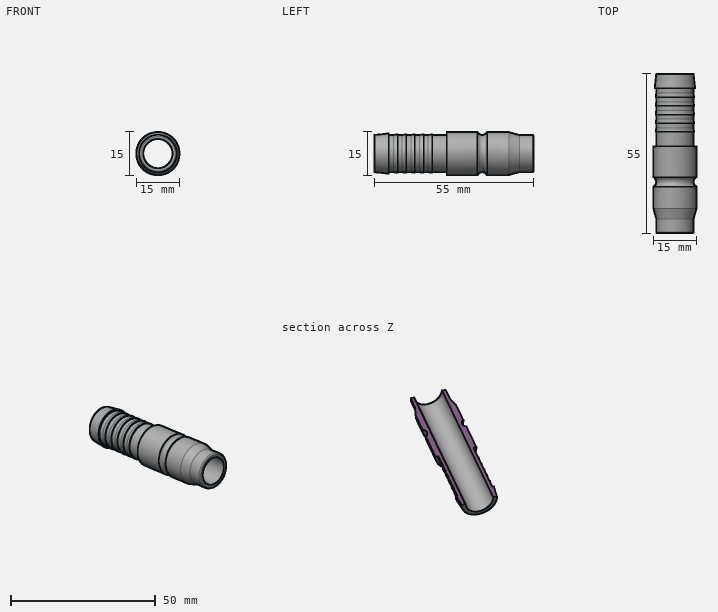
import cadquery as cq

length = 55.0
body_radius = 7.51
tube_radius = 6.5
bore_radius = 5.0

plug_length = 5.0
plug_edge_fillet = 0.5
cone_end = 8.65

groove_center = 17.7
groove_half_width = 1.65
groove_root_radius = 6.5

body_end = 30.0
barb_radius = 6.65
barb_length = 1.5
barb_pitch = 3.0
barb_count = 5
first_barb = 35.0
head_length = 5.0
head_radius = 7.05


def outer_profile():
    """Half section of the solid nipple, as (radius, Y) points."""
    head_start = length - head_length
    profile = (
        cq.Workplane("XY")
        .moveTo(0, 0)
        .lineTo(tube_radius, 0)
        .lineTo(tube_radius, plug_length)
        .lineTo(body_radius, cone_end)
        .lineTo(body_radius, groove_center - groove_half_width)
        .threePointArc(
            (groove_root_radius, groove_center),
            (body_radius, groove_center + groove_half_width),
        )
        .lineTo(body_radius, body_end)
        .lineTo(tube_radius, body_end)
    )
    for index in range(barb_count):
        barb_start = first_barb + index * barb_pitch
        profile = (
            profile.lineTo(tube_radius, barb_start)
            .lineTo(barb_radius, barb_start)
            .lineTo(tube_radius, barb_start + barb_length)
        )
    return (
        profile.lineTo(tube_radius, head_start)
        .lineTo(head_radius, head_start)
        .lineTo(tube_radius, length)
        .lineTo(0, length)
        .close()
    )


nipple = outer_profile().revolve(360, (0, 0, 0), (0, 1, 0))
nipple = nipple.faces("<Y").edges().fillet(plug_edge_fillet)

bore = cq.Workplane("XZ").circle(bore_radius).extrude(-length)
result = nipple.cut(bore)